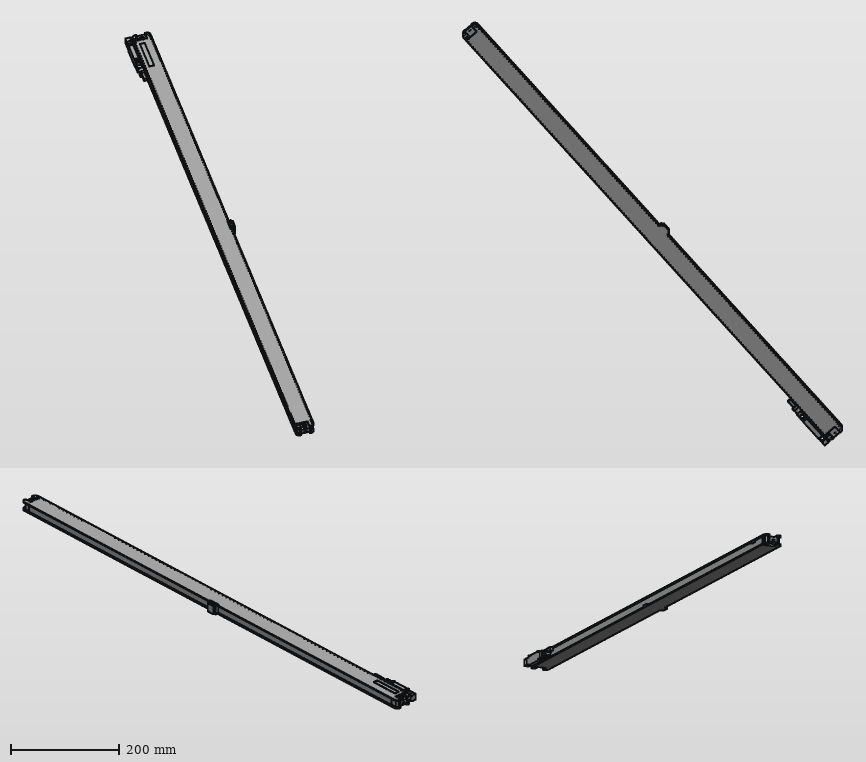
import cadquery as cq

length = 1025.0
height = 18.0
housing_width = 35.0
cap_length = 17.0

lip_thickness = 2.0
side_groove_depth = 2.0

plate_corner_radius = 7.0
plate_thickness = 2.0
core_inset = 3.0
core_corner_chamfer = 4.0

boss_width = 16.0
boss_height = 10.0
pocket_length = 14.0
screw_hole_center = 8.0
screw_hole_diameter = 8.0
screw_hole_depth = 4.0
port_diameter = 4.0
port_depth = 5.0
port_height = 7.0
pin_hole_diameter = 5.0
pin_hole_x = 12.0
pin_hole_y = 6.0

window_start = 24.0
window_length = 58.0
window_width = 9.0
window_offset = 13.0
window_depth = 1.0

tab_length = 15.0
tab_height = 3.0
upper_tab_center = 971.0

clamp_center = 501.0
clamp_length = 22.0
clamp_seat_depth = 3.0
clamp_base_reach = 4.0
clamp_nose_length = 15.0
clamp_reach = 7.0
clamp_drop = 1.0
clamp_slot_length = 11.0
clamp_slot_width = 4.0
clamp_slot_depth = 2.0

head_reach = 12.0
guide_depth = 3.0
guide_height = 10.0
head_length = 78.0
ear_drop = 3.0
center_start = 17.0
center_length = 43.0
ear_hole_diameter = 8.0
ear_hole_positions = (12.0, 68.0)
ear_hole_y = -7.7
center_recess_length = 35.0
center_recess_depth = 1.0

collar_diameter = 11.0
collar_length = 8.0
flange_diameter = 12.0
flange_length = 5.0
plug_width = 6.0
plug_length = 15.0
plug_height = 12.0


def block(x, y, z, size_x, size_y, size_z):
    """Box placed by its lowest corner."""
    return cq.Workplane("XY").box(size_x, size_y, size_z, centered=False).translate((x, y, z))


def rod(x, y, z, diameter, rod_length):
    """Cylinder along +X that starts at the given point."""
    return cq.Workplane("YZ", origin=(x, y, z)).circle(diameter / 2).extrude(rod_length)


def rail():
    """Straight middle stretch with a shallow groove along both sides."""
    run = length - 2 * cap_length
    groove_height = height - 2 * lip_thickness
    body = block(cap_length, 0, 0, run, housing_width, height)
    for y in (0, housing_width - side_groove_depth):
        body = body.cut(block(cap_length, y, lip_thickness, run, side_groove_depth, groove_height))
    return body


def left_cap():
    """End cap: two rounded plates that overhang a narrower core with bevelled corners."""
    middle = housing_width / 2
    plates = block(0, 0, 0, cap_length, housing_width, height)
    plates = plates.edges("|Z and <X").fillet(plate_corner_radius)
    gap_height = height - 2 * plate_thickness
    gap = block(0, 0, plate_thickness, cap_length, housing_width, gap_height)
    core = block(
        core_inset, core_inset, plate_thickness,
        cap_length - core_inset, housing_width - 2 * core_inset, gap_height,
    )
    core = core.edges("|Z and <X").chamfer(core_corner_chamfer)
    cap = plates.cut(gap).union(core)

    pocket_depth = (height - boss_height) / 2
    pocket_y = middle - boss_width / 2
    for z in (0, height - pocket_depth):
        cap = cap.cut(block(0, pocket_y, z, pocket_length, boss_width, pocket_depth))
    cap = cap.union(block(0, pocket_y, pocket_depth, pocket_length, boss_width, boss_height))

    screw_hole = (
        cq.Workplane("XY", origin=(screw_hole_center, middle, height - pocket_depth))
        .circle(screw_hole_diameter / 2)
        .extrude(-screw_hole_depth)
    )
    pin_hole = (
        cq.Workplane("XY", origin=(pin_hole_x, pin_hole_y, 0))
        .circle(pin_hole_diameter / 2)
        .extrude(height)
    )
    port = rod(0, middle, port_height, port_diameter, port_depth)
    return cap.cut(screw_hole).cut(pin_hole).cut(port)


def groove_tab(center_x, bottom_z):
    """Small tab that fills the near side groove out to the lip."""
    return block(center_x - tab_length / 2, 0, bottom_z, tab_length, side_groove_depth, tab_height)


def clamp():
    """Stepped clamp that is let into the far side of the rail."""
    clamp_height = height - clamp_drop
    seat_y = housing_width - clamp_seat_depth
    base = block(
        clamp_center - clamp_length / 2, seat_y, 0,
        clamp_length, clamp_seat_depth + clamp_base_reach, clamp_height,
    )
    nose = block(
        clamp_center - clamp_nose_length / 2, seat_y, 0,
        clamp_nose_length, clamp_seat_depth + clamp_reach, clamp_height,
    )
    slot = block(
        clamp_center - clamp_slot_length / 2, housing_width, clamp_height - clamp_slot_depth,
        clamp_slot_length, clamp_slot_width, clamp_slot_depth,
    )
    return base.union(nose).cut(slot)


def make_housing():
    cap = left_cap()
    body = rail().union(cap)
    body = body.union(cap.mirror("YZ", (length / 2, 0, 0)))
    body = body.cut(
        block(
            window_start, window_offset - window_width / 2, height - window_depth,
            window_length, window_width, window_depth,
        )
    )
    clamp_seat = block(
        clamp_center - clamp_length / 2, housing_width - clamp_seat_depth, 0,
        clamp_length, clamp_seat_depth, height,
    )
    body = body.cut(clamp_seat).union(clamp())
    body = body.union(groove_tab(upper_tab_center, height - lip_thickness - tab_height))
    return body.union(groove_tab(clamp_center, lip_thickness))


def head_center():
    """Full-height middle of the reading head, with a shallow recess on its top."""
    depth = head_reach - guide_depth
    center = block(center_start, -head_reach, 0, center_length, depth, height)
    recess_start = center_start + (center_length - center_recess_length) / 2
    recess = block(
        recess_start, -head_reach, height - center_recess_depth,
        center_recess_length, depth, center_recess_depth,
    )
    return center.cut(recess)


def cable_exit():
    """Round collar, round flange and square plug in line with the reading head."""
    y = -head_reach / 2
    flange_start = head_length + collar_length
    plug_start = flange_start + flange_length
    collar = rod(head_length, y, height / 2, collar_diameter, collar_length)
    flange = rod(flange_start, y, height / 2, flange_diameter, flange_length)
    plug = block(
        plug_start, y - plug_width / 2, plug_height - plug_width / 2,
        plug_length, plug_width, plug_width,
    )
    return collar.union(flange).union(plug)


def make_head():
    depth = head_reach - guide_depth
    ears = block(0, -head_reach, ear_drop, head_length, depth, height - 2 * ear_drop)
    for x in ear_hole_positions:
        hole = (
            cq.Workplane("XY", origin=(x, ear_hole_y, 0))
            .circle(ear_hole_diameter / 2)
            .extrude(height)
        )
        ears = ears.cut(hole)
    guide = block(0, -guide_depth, (height - guide_height) / 2, head_length, guide_depth, guide_height)
    return ears.union(head_center()).union(guide).union(cable_exit())


housing = make_housing()
head = make_head()
result = cq.Compound.makeCompound([housing.val(), head.val()])